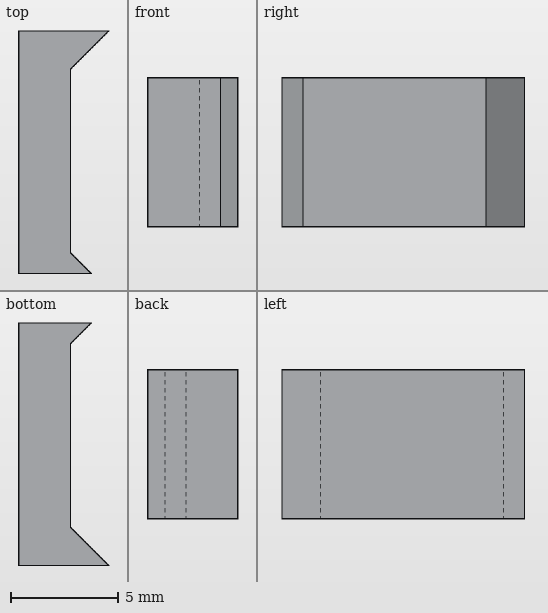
import cadquery as cq

length = 11.3
height = 6.95
rear_depth = 4.2
front_depth = 3.39
web_thickness = 2.42

rear_lip = rear_depth - web_thickness
front_lip = front_depth - web_thickness

half_length = length / 2
back_x = -rear_depth / 2
web_x = back_x + web_thickness

profile = [
    (back_x, -half_length),
    (back_x + front_depth, -half_length),
    (web_x, -half_length + front_lip),
    (web_x, half_length - rear_lip),
    (back_x + rear_depth, half_length),
    (back_x, half_length),
]

result = cq.Workplane("XY").polyline(profile).close().extrude(height / 2, both=True)